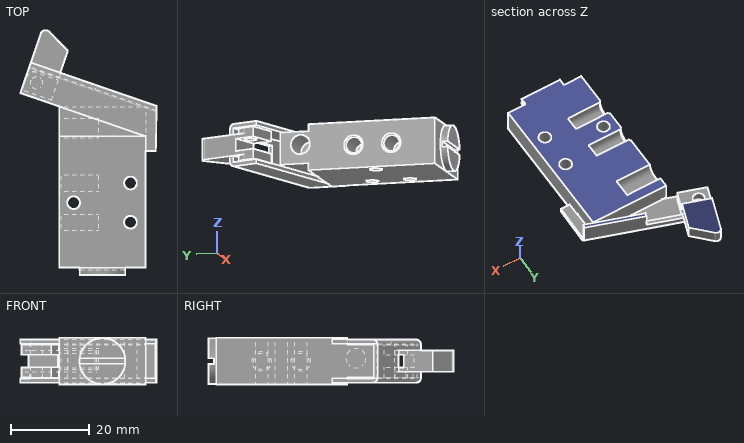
import cadquery as cq
import math

HOUSING_WIDTH = 22.1
HOUSING_LENGTH = 33.55
HOUSING_HEIGHT = 12.0
TONGUE_END_Y = 41.1
TONGUE_HEIGHT = 8.4

HEAD_DIAMETER = 11.8
HEAD_HEIGHT = 1.95
HEAD_SLOT = 1.4

MOUNT_DIAMETER = 3.2
PORT_DIAMETER = 4.15
PORT_MOUTH_DIAMETER = 5.0
PORT_DEPTH = 10.0
REAR_PORT_Y = 35.7
REAR_PORT_Z = 0.8
PORT_PITCH = 10.0
FRONT_PORT_Y = 11.6
PORT_YS = [FRONT_PORT_Y, FRONT_PORT_Y + PORT_PITCH]
SINGLE_MOUNT_X = 3.7
PAIRED_MOUNT_X = 18.2
MOUNT_POINTS = [(SINGLE_MOUNT_X, FRONT_PORT_Y + PORT_PITCH / 2)]
MOUNT_POINTS += [(PAIRED_MOUNT_X, y) for y in PORT_YS]

LEVER_ANGLE = 19.0
CORNER_X = -7.25
CORNER_Y = 52.4
LEVER_LENGTH = 34.05
LEVER_DEPTH = 8.25
LEVER_HEIGHT = 11.1
SHEET = 1.1
BEND_RADIUS = 1.4
WINDOW_LENGTH = 17.65
LUG_END_X = 24.7
LUG_END_Y = 29.75

FINGER_WIDTH = 8.0
FINGER_NECK_HEIGHT = 5.5
FINGER_TIP_REACH = 9.95
FINGER_SIDE_REACH = 5.95
FINGER_TIP_RADIUS = 1.3
FORK_END = 7.3
FORK_HEIGHT = 8.4
FORK_SLOT_FLOOR = 1.95
FORK_SLOT_HEIGHT = 3.2
FORK_SHOULDER = 1.4
FORK_ROUND = 3.0
FORK_HOLE_DIAMETER = 3.1


def slab(outline, height):
    """Extrude a closed workplane outline symmetrically about Z = 0."""
    return outline.extrude(height / 2, both=True)


def block(x0, x1, y0, y1, height):
    outline = cq.Workplane("XY").center((x0 + x1) / 2, (y0 + y1) / 2).rect(x1 - x0, y1 - y0)
    return slab(outline, height)


def to_lever_pose(shape):
    """Move a shape from lever axes (length, outward, Z) to its final place."""
    return shape.rotate((0, 0, 0), (0, 0, 1), -LEVER_ANGLE).translate((CORNER_X, CORNER_Y, 0))


def lever_point(along, outward):
    """XY position of a point given in lever axes."""
    angle = math.radians(LEVER_ANGLE)
    x = CORNER_X + along * math.cos(angle) + outward * math.sin(angle)
    y = CORNER_Y - along * math.sin(angle) + outward * math.cos(angle)
    return x, y


def side_hole(y, z, diameter, depth):
    """Blind hole cutter entering the -X face."""
    return cq.Workplane("YZ").center(y, z).circle(diameter / 2).extrude(depth)


def port_cutter(y):
    mouth = cq.Solid.makeCone(
        PORT_MOUTH_DIAMETER / 2,
        PORT_DIAMETER / 2,
        (PORT_MOUTH_DIAMETER - PORT_DIAMETER) / 2,
        pnt=cq.Vector(0, y, 0),
        dir=cq.Vector(1, 0, 0),
    )
    return side_hole(y, 0, PORT_DIAMETER, PORT_DEPTH).union(cq.Workplane(obj=mouth))


def screw_head():
    center_x = HOUSING_WIDTH / 2
    head = cq.Workplane("XZ").center(center_x, 0).circle(HEAD_DIAMETER / 2).extrude(HEAD_HEIGHT)
    slot = block(0, HOUSING_WIDTH, -HEAD_HEIGHT, HEAD_SLOT - HEAD_HEIGHT, HEAD_SLOT)
    return head.cut(slot)


def make_housing():
    body = block(0, HOUSING_WIDTH, 0, HOUSING_LENGTH, HOUSING_HEIGHT)
    body = body.union(block(0, HOUSING_WIDTH, 0, TONGUE_END_Y, TONGUE_HEIGHT))
    body = body.union(screw_head())
    mounts = cq.Workplane("XY").pushPoints(MOUNT_POINTS).circle(MOUNT_DIAMETER / 2)
    body = body.cut(slab(mounts, HOUSING_HEIGHT))
    for y in PORT_YS:
        body = body.cut(port_cutter(y))
    return body.cut(side_hole(REAR_PORT_Y, REAR_PORT_Z, PORT_MOUTH_DIAMETER, PORT_DEPTH))


def flange_outline():
    """Flange shape in XY, with a lug reaching forward beside the housing."""
    front_left = lever_point(0, -LEVER_DEPTH)
    front_slope = math.tan(math.radians(LEVER_ANGLE))
    meet_x = front_left[0] + (front_left[1] - HOUSING_LENGTH) / front_slope
    points = [
        lever_point(0, 0),
        front_left,
        (meet_x, HOUSING_LENGTH),
        (HOUSING_WIDTH, HOUSING_LENGTH),
        (HOUSING_WIDTH, LUG_END_Y),
        (LUG_END_X, LUG_END_Y),
        lever_point(LEVER_LENGTH, 0),
    ]
    return cq.Workplane("XY").polyline(points).close()


def rounded_bend_envelope():
    """Bar whose two outer back edges carry the bend radius."""
    front = -2 * LEVER_LENGTH
    bar = block(-LEVER_LENGTH, 2 * LEVER_LENGTH, front, 0, LEVER_HEIGHT)
    return to_lever_pose(bar.faces(">Y").edges("|X").fillet(BEND_RADIUS))


def make_lever():
    inner_height = LEVER_HEIGHT - 2 * SHEET
    flanges = slab(flange_outline(), LEVER_HEIGHT).cut(slab(flange_outline(), inner_height))
    wall = to_lever_pose(block(0, LEVER_LENGTH, -SHEET, 0, inner_height))
    window = to_lever_pose(block(0, WINDOW_LENGTH, -SHEET, 0, FINGER_NECK_HEIGHT))
    return flanges.union(wall).intersect(rounded_bend_envelope()).cut(window)


def make_finger():
    neck_outline = cq.Workplane("XY").polyline([
        (0, -FORK_END),
        (FINGER_WIDTH, -FORK_END),
        (FINGER_WIDTH, FINGER_SIDE_REACH),
        (0, FINGER_TIP_REACH),
    ]).close()
    neck = slab(neck_outline, FINGER_NECK_HEIGHT)
    neck = neck.edges("|Z").edges(">Y").fillet(FINGER_TIP_RADIUS)

    fork = block(0, FINGER_WIDTH, -FORK_END, -FORK_SHOULDER, FORK_HEIGHT)
    fork = fork.edges("|Z and <X and >Y").fillet(FORK_ROUND)

    slot = block(0, FINGER_WIDTH, -FORK_END, -FORK_SLOT_FLOOR, FORK_SLOT_HEIGHT)
    hole_y = -FORK_SHOULDER - FORK_ROUND
    hole = cq.Workplane("XY").center(FORK_ROUND, hole_y).circle(FORK_HOLE_DIAMETER / 2)
    finger = neck.union(fork).cut(slot).cut(slab(hole, FORK_HEIGHT))
    return to_lever_pose(finger)


housing = make_housing()
lever = make_lever()
finger = make_finger()

result = cq.Compound.makeCompound([housing.val(), lever.val(), finger.val()])